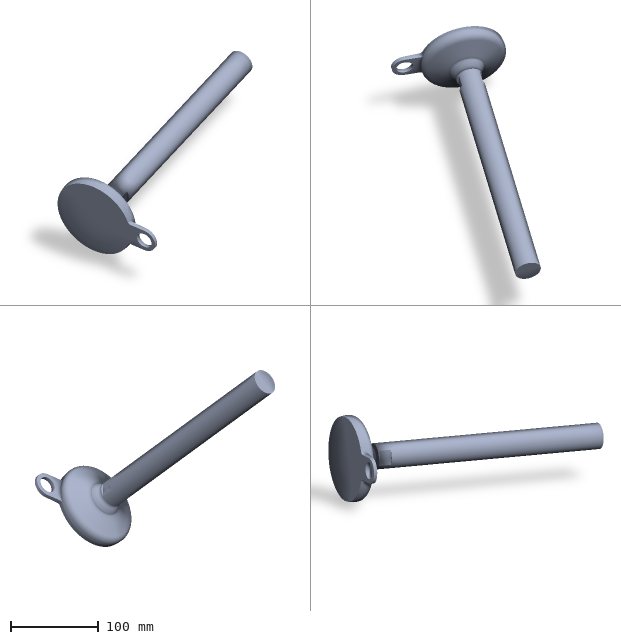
import cadquery as cq
import math

TOTAL_LENGTH = 315.0

PAD_BOTTOM_RADIUS = 49.0
BASE_RADIUS = 49.93
PAD_HEIGHT = 6.0
RIM_HEIGHT = 8.8
SHOULDER_RADIUS = 8.0
CONE_ANGLE = math.radians(19)
CONE_TOP_RADIUS = 20.5

DOME_RADIUS = 23.3

STEM_RADIUS = 15.0
STEM_BOTTOM = 35.3
FLAT_HALF_WIDTH = 12.3
FLAT_START = STEM_BOTTOM + 1.5
FLAT_LENGTH = 14.5

OVERALL_WIDTH = 133.0
TAB_RADIUS = 14.8
TAB_CENTRE = OVERALL_WIDTH - BASE_RADIUS - TAB_RADIUS
TAB_END_THICKNESS = 4.0
TAB_HOLE_RADIUS = 9.8
TAB_ROOT_FILLET = 4.7
TAB_SLOPE_START = 45.0


def make_base():
    """Revolve the pad, rounded shoulder, shallow cone and spherical dome."""
    shoulder_centre = BASE_RADIUS - SHOULDER_RADIUS

    def shoulder_point(angle):
        return (
            shoulder_centre + SHOULDER_RADIUS * math.cos(angle),
            RIM_HEIGHT + SHOULDER_RADIUS * math.sin(angle),
        )

    tangent_angle = math.pi / 2 - CONE_ANGLE
    shoulder_end = shoulder_point(tangent_angle)
    cone_rise = (shoulder_end[0] - CONE_TOP_RADIUS) * math.tan(CONE_ANGLE)
    cone_top = shoulder_end[1] + cone_rise

    dome_angle = math.asin(CONE_TOP_RADIUS / DOME_RADIUS)
    dome_centre = cone_top - DOME_RADIUS * math.cos(dome_angle)
    dome_middle = (
        DOME_RADIUS * math.sin(dome_angle / 2),
        dome_centre + DOME_RADIUS * math.cos(dome_angle / 2),
    )
    return (
        cq.Workplane("XY")
        .lineTo(PAD_BOTTOM_RADIUS, 0)
        .lineTo(BASE_RADIUS, PAD_HEIGHT)
        .lineTo(BASE_RADIUS, RIM_HEIGHT)
        .threePointArc(shoulder_point(tangent_angle / 2), shoulder_end)
        .lineTo(CONE_TOP_RADIUS, cone_top)
        .threePointArc(dome_middle, (0, dome_centre + DOME_RADIUS))
        .close()
        .revolve(360, (0, 0, 0), (0, 1, 0))
    )


def extrude_from_sole(sketch, height):
    """Extrude an XZ outline from the sole towards +Y."""
    return sketch.extrude(-height)


def make_tab():
    """Make the holed tab, with filleted roots and a sloping upper face."""
    disc = extrude_from_sole(cq.Workplane("XZ").circle(PAD_BOTTOM_RADIUS), PAD_HEIGHT)
    outline = (
        cq.Workplane("XZ")
        .moveTo(0, -TAB_RADIUS)
        .lineTo(TAB_CENTRE, -TAB_RADIUS)
        .threePointArc((TAB_CENTRE + TAB_RADIUS, 0), (TAB_CENTRE, TAB_RADIUS))
        .lineTo(0, TAB_RADIUS)
        .close()
    )
    tab = disc.union(extrude_from_sole(outline, PAD_HEIGHT))

    root_x = math.sqrt(PAD_BOTTOM_RADIUS**2 - TAB_RADIUS**2)
    for root_z in (-TAB_RADIUS, TAB_RADIUS):
        root = cq.selectors.NearestToPointSelector((root_x, PAD_HEIGHT / 2, root_z))
        tab = tab.edges("|Y").edges(root).fillet(TAB_ROOT_FILLET)

    tab_tip = TAB_CENTRE + TAB_RADIUS
    wedge = (
        cq.Workplane("XY")
        .polyline([
            (TAB_SLOPE_START, PAD_HEIGHT),
            (tab_tip, TAB_END_THICKNESS),
            (tab_tip, PAD_HEIGHT),
        ])
        .close()
        .extrude(BASE_RADIUS, both=True)
    )
    hole = extrude_from_sole(
        cq.Workplane("XZ").center(TAB_CENTRE, 0).circle(TAB_HOLE_RADIUS), PAD_HEIGHT
    )
    return tab.cut(wedge).cut(hole)


def make_stem():
    """Make the round stem and cut the flats on its -X and +X sides."""
    stem = (
        cq.Workplane("XZ", origin=(0, STEM_BOTTOM, 0))
        .circle(STEM_RADIUS)
        .extrude(STEM_BOTTOM - TOTAL_LENGTH)
    )
    for side in (-1, 1):
        cutter = cq.Workplane("XY").box(STEM_RADIUS, FLAT_LENGTH, 2 * STEM_RADIUS).translate(
            (side * (FLAT_HALF_WIDTH + STEM_RADIUS / 2), FLAT_START + FLAT_LENGTH / 2, 0)
        )
        stem = stem.cut(cutter)
    return stem


result = make_base().union(make_tab()).union(make_stem())